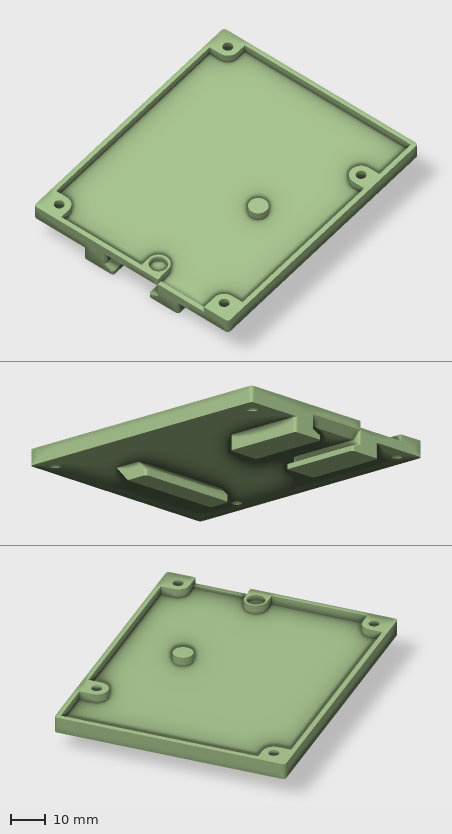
import cadquery as cq

length_x = 72.0
length_y = 88.0
total_height = 9.8
tray_height = 5.0
edge_radius = 1.0
rim_width = 1.5
cavity_depth = 3.0

screw_x = 30.5
screw_y = 39.1
side_screw_y = 24.4
screw_diameter = 3.2
pad_radius = 3.5

socket_x = 6.25
socket_mouth_diameter = 6.0
socket_diameter = 5.5
socket_depth = 2.0
pin_x = 14.8
pin_y = -3.5
pin_diameter = 6.0
window_x_start = 9.9
window_x_end = screw_x - pad_radius
window_depth = 2.0

foot_width = 35.0
foot_length = 25.9
slot_half_width = 9.5
throat_half_width = 6.6
slot_lip_top = 2.8
slot_lip_edge = 1.6
slot_roof_drop = 0.3
mouth_chamfer = 0.5
mouth_lip_drop = 0.3
mouth_ramp = 2.55

clip_back_y = 26.9
clip_front_y = 18.2
clip_nose_y = 15.2
clip_back_run = 4.4
clip_nose_height = 1.8

half_x = length_x / 2
half_y = length_y / 2
tray_bottom = -tray_height
part_bottom = -total_height
cavity_floor = -cavity_depth
slot_roof = tray_bottom - slot_roof_drop


def box(x_start, x_end, y_start, y_end, z_start, z_end):
    """Box given by its limits on each axis."""
    size = (x_end - x_start, y_end - y_start, z_end - z_start)
    corner = (x_start, y_start, z_start)
    return cq.Workplane("XY").box(*size, centered=False).translate(corner)


def cylinder(x, y, diameter, z_start, z_end):
    """Vertical cylinder between two heights."""
    base = cq.Workplane("XY").workplane(offset=z_start)
    return base.center(x, y).circle(diameter / 2).extrude(z_end - z_start)


def boss(x, y):
    """Round boss rising from the cavity floor to the rim top."""
    return cylinder(x, y, 2 * pad_radius, cavity_floor, 0)


def corner_pad(side_x, side_y):
    """Pad filling one tray corner, rounded towards the cavity."""
    x = side_x * screw_x
    y = side_y * screw_y
    wall_x = side_x * (half_x - rim_width)
    wall_y = side_y * (half_y - rim_width)
    inner_x = x - side_x * pad_radius
    inner_y = y - side_y * pad_radius
    along_x = box(*sorted((inner_x, wall_x)), *sorted((y, wall_y)), cavity_floor, 0)
    along_y = box(*sorted((x, wall_x)), *sorted((inner_y, wall_y)), cavity_floor, 0)
    return boss(x, y).union(along_x).union(along_y)


def side_pad():
    """Round-ended pad reaching to the +X wall."""
    web = box(screw_x, half_x - rim_width, side_screw_y - pad_radius,
              side_screw_y + pad_radius, cavity_floor, 0)
    return boss(screw_x, side_screw_y).union(web)


def socket_boss():
    """Round-ended boss joined to the -Y wall."""
    web = box(socket_x - pad_radius, socket_x + pad_radius, -half_y + rim_width,
              -screw_y, cavity_floor, 0)
    return boss(socket_x, -screw_y).union(web)


def socket():
    """Blind socket with a bevelled mouth."""
    bevel = (socket_mouth_diameter - socket_diameter) / 2
    bore = cylinder(socket_x, -screw_y, socket_diameter, -socket_depth, 0)
    cone = cq.Solid.makeCone(socket_diameter / 2, socket_mouth_diameter / 2, bevel)
    return bore.union(cq.Workplane("XY").add(cone.translate(cq.Vector(socket_x, -screw_y, -bevel))))


def foot():
    """Block under the -Y edge of the tray."""
    block = box(-foot_width / 2, foot_width / 2, -half_y, -half_y + foot_length,
                part_bottom, tray_bottom)
    return block.edges("|Z").fillet(edge_radius)


def slot_profile(y, widening=0, lip_drop=0):
    """Undercut slot section, optionally widened and with its lips lowered."""
    wide = slot_half_width + widening
    throat = throat_half_width + widening
    lip_top = part_bottom + slot_lip_top - lip_drop
    lip_edge = part_bottom + slot_lip_edge - lip_drop
    return (
        cq.Workplane("XZ").workplane(offset=-y)
        .polyline([
            (-throat, part_bottom), (-throat, lip_edge), (-wide, lip_top), (-wide, slot_roof),
            (wide, slot_roof), (wide, lip_top), (throat, lip_edge), (throat, part_bottom),
        ])
        .close()
    )


def slot():
    """Undercut slot along the foot with a bevelled mouth and a lead-in ramp."""
    channel = slot_profile(-half_y).extrude(-foot_length)
    mouth = cq.Workplane("XY").add(cq.Solid.makeLoft([
        slot_profile(-half_y, mouth_chamfer, mouth_lip_drop).wire().val(),
        slot_profile(-half_y + mouth_chamfer).wire().val(),
    ], True))
    ramp_width = slot_half_width + mouth_chamfer
    ramp = (
        cq.Workplane("YZ").workplane(offset=-ramp_width)
        .polyline([
            (-half_y, slot_roof),
            (-half_y, slot_roof + mouth_ramp),
            (-half_y + mouth_ramp, slot_roof),
        ])
        .close().extrude(2 * ramp_width)
    )
    ramp_limit = (
        cq.Workplane("XY").workplane(offset=slot_roof)
        .polyline([
            (-ramp_width, -half_y), (ramp_width, -half_y),
            (slot_half_width, -half_y + mouth_chamfer), (slot_half_width, -half_y + mouth_ramp),
            (-slot_half_width, -half_y + mouth_ramp), (-slot_half_width, -half_y + mouth_chamfer),
        ])
        .close().extrude(mouth_ramp)
    )
    return channel.union(mouth).union(ramp.intersect(ramp_limit))


def clip():
    """Sloped hook facing the foot."""
    hook = (
        cq.Workplane("YZ").workplane(offset=-foot_width / 2)
        .polyline([
            (clip_back_y, tray_bottom),
            (clip_front_y, tray_bottom),
            (clip_nose_y, part_bottom + clip_nose_height),
            (clip_nose_y, part_bottom),
            (clip_back_y - clip_back_run, part_bottom),
        ])
        .close().extrude(foot_width)
    )
    return hook.edges("|Z").fillet(edge_radius)


tray = box(-half_x, half_x, -half_y, half_y, tray_bottom, 0).edges("|Z").fillet(edge_radius)
cavity = box(-half_x + rim_width, half_x - rim_width, -half_y + rim_width,
             half_y - rim_width, cavity_floor, 0)
result = tray.cut(cavity)

corners = [(-1, -1), (1, -1), (-1, 1)]
for side_x, side_y in corners:
    result = result.union(corner_pad(side_x, side_y))
result = result.union(side_pad()).union(socket_boss())
result = result.union(cylinder(pin_x, pin_y, pin_diameter, cavity_floor, 0))

result = result.union(foot()).union(clip()).cut(slot())

screw_places = [(side_x * screw_x, side_y * screw_y) for side_x, side_y in corners]
screw_places.append((screw_x, side_screw_y))
for x, y in screw_places:
    result = result.cut(cylinder(x, y, screw_diameter, tray_bottom, 0))
result = result.cut(socket())
result = result.cut(box(window_x_start, window_x_end, -half_y, -half_y + rim_width, -window_depth, 0))